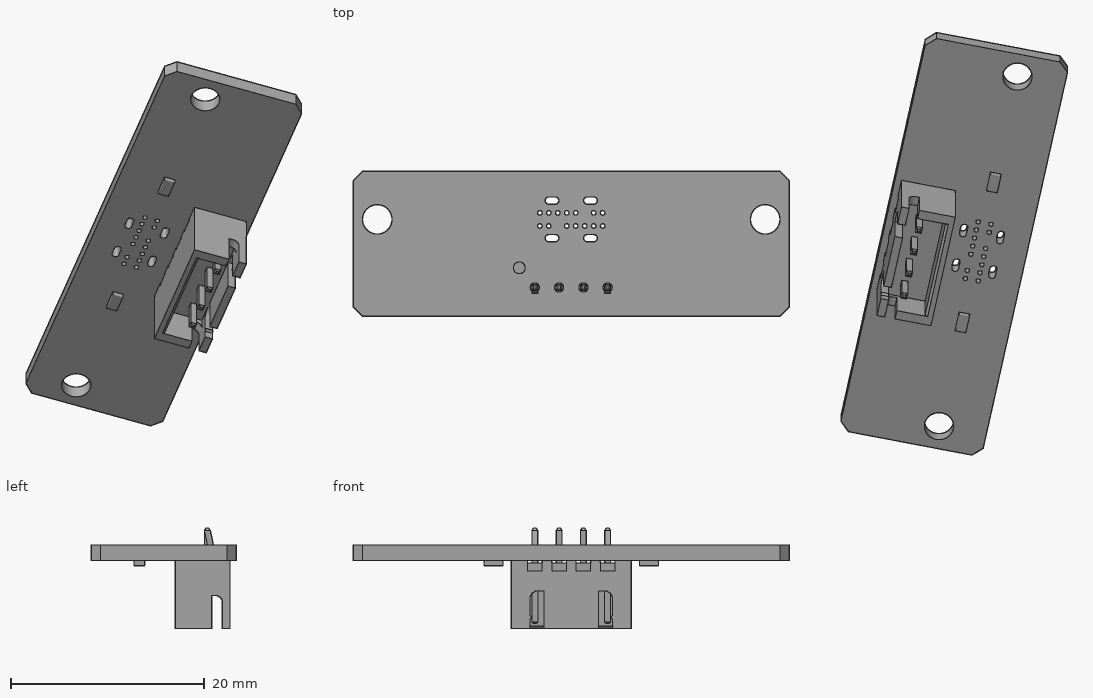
import cadquery as cq
import math

board_length = 45.0
board_width = 15.0
board_thickness = 1.6
corner_chamfer = 1.0
screw_hole_diameter = 3.0
screw_hole_spacing = 40.0

feature_line_y = 2.5
contact_hole_diameter = 0.45
contact_columns = 8
contact_row_span = 6.5
contact_row_offset = 0.68
skipped_column = 5
shell_slot_length = 1.4
shell_slot_width = 0.7
shell_slot_offset_x = 2.0
shell_slot_offset_y = 1.95

housing_length = 12.4
housing_width = 5.65
housing_height = 7.0
housing_front_y = -6.85
housing_wall = 0.8
housing_end_wall = 0.95
cavity_depth = 3.9
mouth_chamfer = 0.25
housing_back_y = housing_front_y + housing_width
mouth_z = -housing_height
cavity_top_z = mouth_z + cavity_depth

front_slot_radius = 0.9
front_slot_width = 1.45
front_slot_outer_x = 4.28
side_slot_width = 1.1
side_slot_height = 3.4
side_slot_radius = 0.7
ridge_height = 0.22
ridge_above_mouth = 1.15

relief_width = 1.5
channel_depth = 0.22
pocket_height = 1.1
pocket_depth = 0.7

pin_count = 4
pin_row_span = 7.5
pin_y = -4.5
pin_size = 0.65
pin_top_z = 3.38
pin_bottom_z = -6.5
pin_top_tip_height = 0.25
pin_bottom_tip_height = 0.15
pin_tip_inset = 0.2
kink_offset = 0.3
pin_hole_diameter = 0.95

locating_hole_diameter = 1.2
locating_hole_x = -5.35
locating_hole_y = -2.48

chip_length = 2.0
chip_width = 1.12
chip_height = 0.55
chip_edge_radius = 0.1
chip_spacing = 16.0


def evenly_spaced(count, span):
    """Positions of `count` items spread over `span`, centred on zero."""
    return [span * (i / (count - 1) - 0.5) for i in range(count)]


pin_positions = evenly_spaced(pin_count, pin_row_span)


def block(x_range, y_range, z_range):
    """Box between the given limits."""
    sizes = [high - low for low, high in (x_range, y_range, z_range)]
    corner = (x_range[0], y_range[0], z_range[0])
    return cq.Workplane("XY").box(*sizes, centered=False).translate(corner)


def make_pin_tip(x, shoulder_z, end_z):
    """Truncated pyramid that closes a pin between its shoulder and its end."""
    tip_height = end_z - shoulder_z
    taper_angle = math.degrees(math.atan(pin_tip_inset / abs(tip_height)))
    return (
        cq.Workplane("XY", origin=(x, pin_y, shoulder_z))
        .rect(pin_size, pin_size)
        .extrude(tip_height, taper=taper_angle)
    )


def make_pin(x, kink):
    """Square pin with tapered tips, pushed towards -Y by `kink` at the board's top face."""
    half = pin_size / 2
    shoulder_top = pin_top_z - pin_top_tip_height
    shoulder_bottom = pin_bottom_z + pin_bottom_tip_height
    kink_point = (pin_y - kink, board_thickness)
    centreline = [(pin_y, shoulder_bottom), (pin_y, 0), kink_point, (pin_y, shoulder_top)]
    front_edge = [(y - half, z) for y, z in centreline]
    back_edge = [(y + half, z) for y, z in reversed(centreline)]
    shank = (
        cq.Workplane("YZ", origin=(x, 0, 0))
        .polyline(front_edge + back_edge)
        .close()
        .extrude(half, both=True)
    )
    top_tip = make_pin_tip(x, shoulder_top, pin_top_z)
    bottom_tip = make_pin_tip(x, shoulder_bottom, pin_bottom_z)
    return shank.union(top_tip).union(bottom_tip)


def make_cavity():
    """Mating cavity, open downwards, with a lead-in on the back wall."""
    half_length = housing_length / 2 - housing_end_wall
    front_y = housing_front_y + housing_wall
    back_y = housing_back_y - housing_wall
    return (
        cq.Workplane("YZ")
        .moveTo(front_y, mouth_z)
        .lineTo(front_y, cavity_top_z)
        .lineTo(back_y, cavity_top_z)
        .lineTo(back_y, mouth_z + mouth_chamfer)
        .lineTo(back_y + mouth_chamfer, mouth_z)
        .close()
        .extrude(half_length, both=True)
    )


def make_front_slot():
    """Slot through the front wall on the +X side, with a small ridge on its outer edge."""
    inner_x = front_slot_outer_x - front_slot_width
    ridge_z = mouth_z + ridge_above_mouth
    return (
        cq.Workplane("XZ", origin=(0, housing_front_y, 0))
        .moveTo(inner_x, mouth_z)
        .lineTo(front_slot_outer_x, mouth_z)
        .lineTo(front_slot_outer_x, ridge_z - ridge_height)
        .lineTo(front_slot_outer_x - ridge_height, ridge_z)
        .lineTo(front_slot_outer_x, ridge_z + ridge_height)
        .lineTo(front_slot_outer_x, cavity_top_z - front_slot_radius)
        .radiusArc((front_slot_outer_x - front_slot_radius, cavity_top_z), -front_slot_radius)
        .lineTo(inner_x, cavity_top_z)
        .close()
        .extrude(-housing_wall)
    )


def make_side_slots():
    """One slot cut straight through both end walls."""
    front_y = housing_front_y + housing_wall
    back_y = front_y + side_slot_width
    top_z = mouth_z + side_slot_height
    return (
        cq.Workplane("YZ")
        .moveTo(back_y, mouth_z)
        .lineTo(front_y, mouth_z)
        .lineTo(front_y, top_z - side_slot_radius)
        .radiusArc((front_y + side_slot_radius, top_z), side_slot_radius)
        .lineTo(back_y, top_z)
        .close()
        .extrude(housing_length / 2, both=True)
    )


def make_pin_relief(x):
    """Channel under the board around one pin, with a deeper pocket in the front face."""
    x_range = (x - relief_width / 2, x + relief_width / 2)
    channel = block(x_range, (housing_front_y, housing_back_y), (-channel_depth, 0))
    pocket = block(x_range, (housing_front_y, housing_front_y + pocket_depth), (-pocket_height, 0))
    return channel.union(pocket)


def make_connector():
    """Housing and its pins as one body; the two outermost pins are kinked."""
    half_length = housing_length / 2
    connector = block((-half_length, half_length), (housing_front_y, housing_back_y), (mouth_z, 0))
    front_slot = make_front_slot()
    connector = (
        connector.cut(make_cavity())
        .cut(front_slot)
        .cut(front_slot.mirror("YZ"))
        .cut(make_side_slots())
    )
    for x in pin_positions:
        connector = connector.cut(make_pin_relief(x))
    for x in pin_positions:
        outermost = x in (pin_positions[0], pin_positions[-1])
        connector = connector.union(make_pin(x, kink_offset if outermost else 0))
    return connector


def usb_contact_points():
    """Two contact rows; each skips one column, and the rows are half-turn copies of each other."""
    columns = evenly_spaced(contact_columns, contact_row_span)
    back_row = [x for i, x in enumerate(columns) if i != skipped_column]
    return [(side * x, feature_line_y + side * contact_row_offset) for side in (1, -1) for x in back_row]


def make_board(connector):
    """Board with its holes, fitted around the connector's pins."""
    screw_points = [(side * screw_hole_spacing / 2, feature_line_y) for side in (-1, 1)]
    shell_points = [
        (side_x * shell_slot_offset_x, feature_line_y + side_y * shell_slot_offset_y)
        for side_x in (-1, 1)
        for side_y in (-1, 1)
    ]
    pin_points = [(x, pin_y) for x in pin_positions]
    board = (
        cq.Workplane("XY")
        .rect(board_length, board_width)
        .extrude(board_thickness)
        .edges("|Z")
        .chamfer(corner_chamfer)
    )
    round_holes = [
        (screw_points, screw_hole_diameter),
        (usb_contact_points(), contact_hole_diameter),
        (pin_points, pin_hole_diameter),
        ([(locating_hole_x, locating_hole_y)], locating_hole_diameter),
    ]
    for points, diameter in round_holes:
        holes = cq.Workplane("XY").pushPoints(points).circle(diameter / 2).extrude(board_thickness)
        board = board.cut(holes)
    shell_slots = (
        cq.Workplane("XY")
        .pushPoints(shell_points)
        .slot2D(shell_slot_length, shell_slot_width)
        .extrude(board_thickness)
    )
    return board.cut(shell_slots).cut(connector)


def make_chip(x):
    """Chip component mounted against the underside of the board."""
    chip = block(
        (x - chip_length / 2, x + chip_length / 2),
        (feature_line_y - chip_width / 2, feature_line_y + chip_width / 2),
        (-chip_height, 0),
    )
    return chip.faces("<Z or >Z").edges().fillet(chip_edge_radius)


connector = make_connector()
board = make_board(connector)
chips = [make_chip(side * chip_spacing / 2) for side in (-1, 1)]

bodies = [board, connector, *chips]
result = cq.Compound.makeCompound([body.solids().val() for body in bodies])